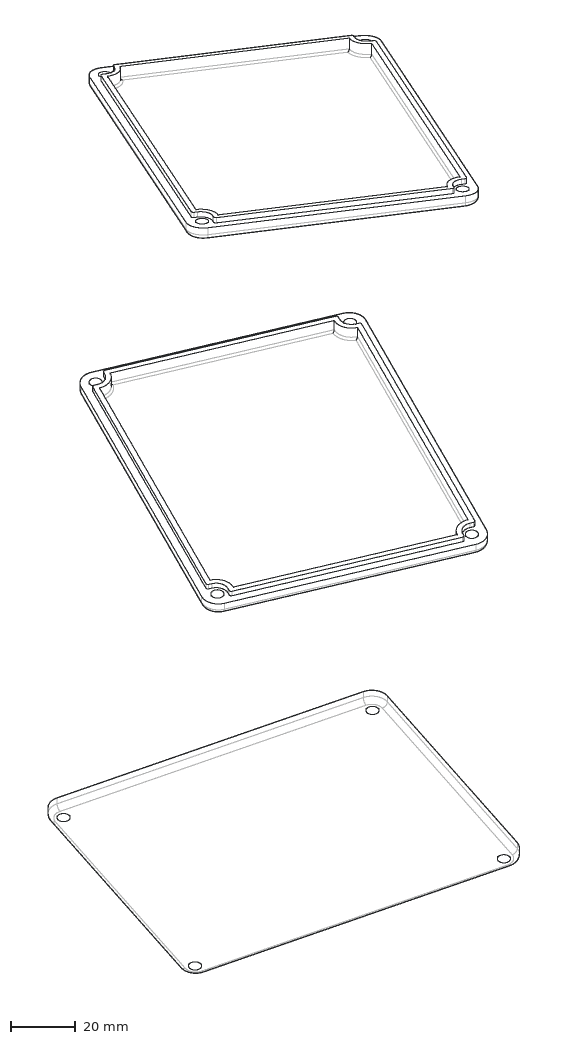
import cadquery as cq

length = 119.5
width = 94.0
height = 6.0
corner_radius = 5.5
bottom_edge_radius = 1.8

lip_height = 1.8
lip_inset = 2.6
lip_thickness = 1.8
lip_corner_radius = 0.7

floor_thickness = 1.5
floor_fillet = 0.7

hole_diameter = 4.1
hole_inset = 5.0
notch_inset = lip_inset + lip_thickness
notch_radius = 3.8

plate_height = height - lip_height
hole_spacing_x = length - 2 * hole_inset
hole_spacing_y = width - 2 * hole_inset


def notched_block(inset, notch, bottom, top):
    """Rectangular block whose corners are cut back by rounded notches."""
    base = cq.Workplane("XY", origin=(0, 0, bottom))
    block = base.rect(length - 2 * inset, width - 2 * inset).extrude(top - bottom)
    notch_side = 2 * (notch_inset + notch)
    notches = (
        base.rect(length, width, forConstruction=True)
        .vertices()
        .rect(notch_side, notch_side)
        .extrude(top - bottom)
        .edges("|Z")
        .fillet(notch)
    )
    return block.cut(notches)


plate = (
    cq.Workplane("XY")
    .rect(length, width)
    .extrude(plate_height)
    .edges("|Z")
    .fillet(corner_radius)
    .faces("<Z")
    .edges()
    .fillet(bottom_edge_radius)
)

lip = notched_block(lip_inset, notch_radius, plate_height, height)
long_side_corners = lip.faces("<Y or >Y").edges("|Z")
short_side_corners = lip.faces("<X or >X").edges("|Z")
lip = lip.newObject(long_side_corners.vals() + short_side_corners.vals()).fillet(lip_corner_radius)

cavity = notched_block(lip_inset + lip_thickness, notch_radius + lip_thickness, floor_thickness, height)
cavity = cavity.faces("<Z").edges().fillet(floor_fillet)

screw_holes = (
    cq.Workplane("XY")
    .rect(hole_spacing_x, hole_spacing_y, forConstruction=True)
    .vertices()
    .circle(hole_diameter / 2)
    .extrude(height)
)

result = plate.union(lip).cut(cavity).cut(screw_holes)